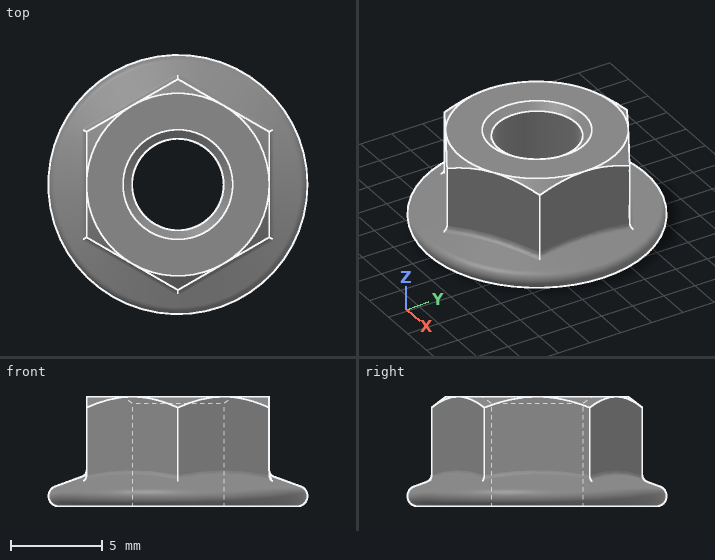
import cadquery as cq
import math

flange_diameter = 14.2
height = 6.0
across_flats = 10.0

rim_radius = 0.57
cone_angle = math.radians(20)
root_fillet = 0.35

bore_diameter = 5.0
countersink_diameter = 6.0
countersink_depth = 0.35
corner_drop = 0.6

flange_radius = flange_diameter / 2
apothem = across_flats / 2
corner_radius = apothem / math.cos(math.pi / 6)


def make_flange():
    """Revolve the flange, with its rim tangent to the base and the cone."""
    rim_center = flange_radius - rim_radius
    cone_start_r = rim_center + rim_radius * math.sin(cone_angle)
    cone_start_z = rim_radius * (1 + math.cos(cone_angle))
    apex_z = cone_start_z + cone_start_r * math.tan(cone_angle)
    return (
        cq.Workplane("XZ")
        .lineTo(rim_center, 0)
        .threePointArc((flange_radius, rim_radius), (cone_start_r, cone_start_z))
        .lineTo(0, apex_z)
        .close()
        .revolve(360, (0, 0), (0, 1))
    )


def make_hexagon():
    """Hexagonal prism with flats facing +X and -X."""
    return (
        cq.Workplane("XY")
        .polygon(6, 2 * corner_radius)
        .extrude(height)
        .rotate((0, 0, 0), (0, 0, 1), 30)
    )


def top_chamfer_envelope():
    """Solid of revolution whose conical top trims the hexagon corners."""
    slope = corner_drop / (corner_radius - apothem)
    shoulder_z = height - slope * (flange_radius - apothem)
    return (
        cq.Workplane("XZ")
        .lineTo(flange_radius, 0)
        .lineTo(flange_radius, shoulder_z)
        .lineTo(apothem, height)
        .lineTo(0, height)
        .close()
        .revolve(360, (0, 0), (0, 1))
    )


def fillet_root(body):
    """Fillet the curved edges where the hexagon meets the flange cone."""
    root_band = cq.selectors.BoxSelector(
        (-corner_radius, -corner_radius, 2 * rim_radius),
        (corner_radius, corner_radius, height / 2),
    )
    return body.edges("not #Z").edges("not |Z").edges(root_band).fillet(root_fillet)


def make_bore():
    """Through bore with a shallow countersink at the top."""
    bore_radius = bore_diameter / 2
    return (
        cq.Workplane("XZ")
        .lineTo(bore_radius, 0)
        .lineTo(bore_radius, height - countersink_depth)
        .lineTo(countersink_diameter / 2, height)
        .lineTo(0, height)
        .close()
        .revolve(360, (0, 0), (0, 1))
    )


hexagon = make_hexagon().intersect(top_chamfer_envelope())
body = fillet_root(make_flange().union(hexagon))
result = body.cut(make_bore())